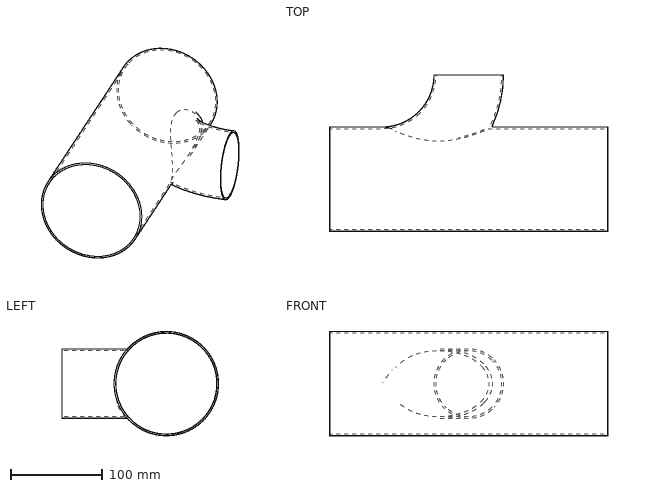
import cadquery as cq

RUN_LENGTH = 304.0
RUN_DIAMETER = 114.3
WALL = 2.0

BRANCH_DIAMETER = 76.1
BEND_RADIUS = 95.0
BEND_ANGLE = 90.0
BRANCH_END_X = 0.0
BRANCH_END_Y = 114.09

SEAM_FILLET = 1.0


def run_cylinder(diameter):
    """Solid cylinder along the full length of the run."""
    return (
        cq.Workplane("YZ")
        .workplane(offset=-RUN_LENGTH / 2)
        .circle(diameter / 2)
        .extrude(RUN_LENGTH)
    )


def branch_bend(diameter):
    """Solid bend from the branch mouth, curving towards -X into the run."""
    return (
        cq.Workplane("XZ", origin=(BRANCH_END_X, BRANCH_END_Y, 0))
        .circle(diameter / 2)
        .revolve(BEND_ANGLE, (-BEND_RADIUS, 0, 0), (-BEND_RADIUS, -1, 0))
    )


def bore(diameter):
    """Inside diameter of a pipe with the common wall thickness."""
    return diameter - 2 * WALL


def outer_body():
    """Solid run and branch with their seam filleted, before boring."""
    body = run_cylinder(RUN_DIAMETER).union(branch_bend(BRANCH_DIAMETER))
    return body.edges("%BSPLINE").fillet(SEAM_FILLET)


result = (
    outer_body()
    .cut(run_cylinder(bore(RUN_DIAMETER)))
    .cut(branch_bend(bore(BRANCH_DIAMETER)))
)